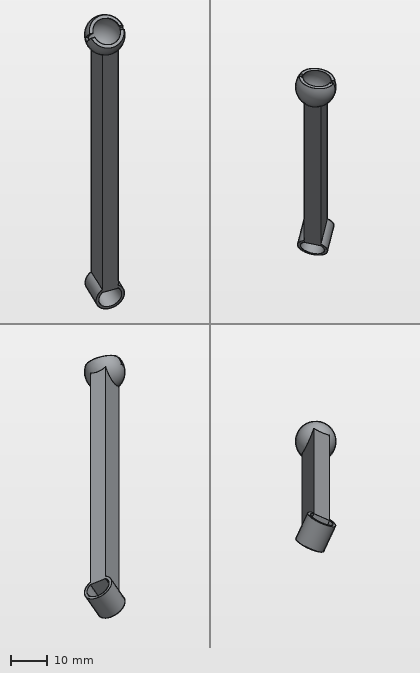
import cadquery as cq
import math

total_height = 104.1

ball_radius = 5.6
cavity_radius = 4.8
mouth_tilt = 30.0
mouth_offset = ball_radius / 2
slot_width = 1.2

arm_width = 8.0
arm_thickness = 4.8
ring_outer_radius = 4.3
ring_inner_radius = 3.4

rim_angle = math.acos(mouth_offset / ball_radius) - math.radians(mouth_tilt)
ball_height = total_height - ball_radius * math.cos(rim_angle)
ring_height = ring_outer_radius
ball_centre = (0, 0, ball_height)

arm_bottom = ring_height + math.sqrt(ring_inner_radius**2 - (arm_thickness / 2)**2)


def sphere(radius):
    return cq.Workplane("XY").sphere(radius).translate(ball_centre)


def place_on_socket_axis(body):
    """Tilt a body about the origin and move it to the ball centre."""
    return body.rotate((0, 0, 0), (0, 1, 0), mouth_tilt).translate(ball_centre)


def make_arm():
    arm = cq.Workplane("XY").box(
        arm_width, arm_thickness, ball_height - arm_bottom, centered=(True, True, False)
    )
    return arm.translate((0, 0, arm_bottom))


def make_ring():
    ring = (
        cq.Workplane("YZ")
        .center(0, ring_height)
        .circle(ring_outer_radius)
        .circle(ring_inner_radius)
        .extrude(arm_width / 2, both=True)
    )
    return ring


def make_mouth_cut():
    """Block that removes the ball cap above the tilted mouth plane."""
    side = 2 * ball_radius
    block = cq.Workplane("XY").box(side, side, side, centered=(True, True, False))
    return place_on_socket_axis(block.translate((0, 0, mouth_offset)))


def make_slot_cut():
    """Slot through both walls, from the ball centre up to the mouth."""
    length = 2 * ball_radius
    block = cq.Workplane("XY").box(slot_width, length, ball_radius, centered=(True, True, False))
    return place_on_socket_axis(block)


result = (
    make_arm()
    .union(make_ring())
    .union(sphere(ball_radius))
    .cut(sphere(cavity_radius))
    .cut(make_mouth_cut())
    .cut(make_slot_cut())
)